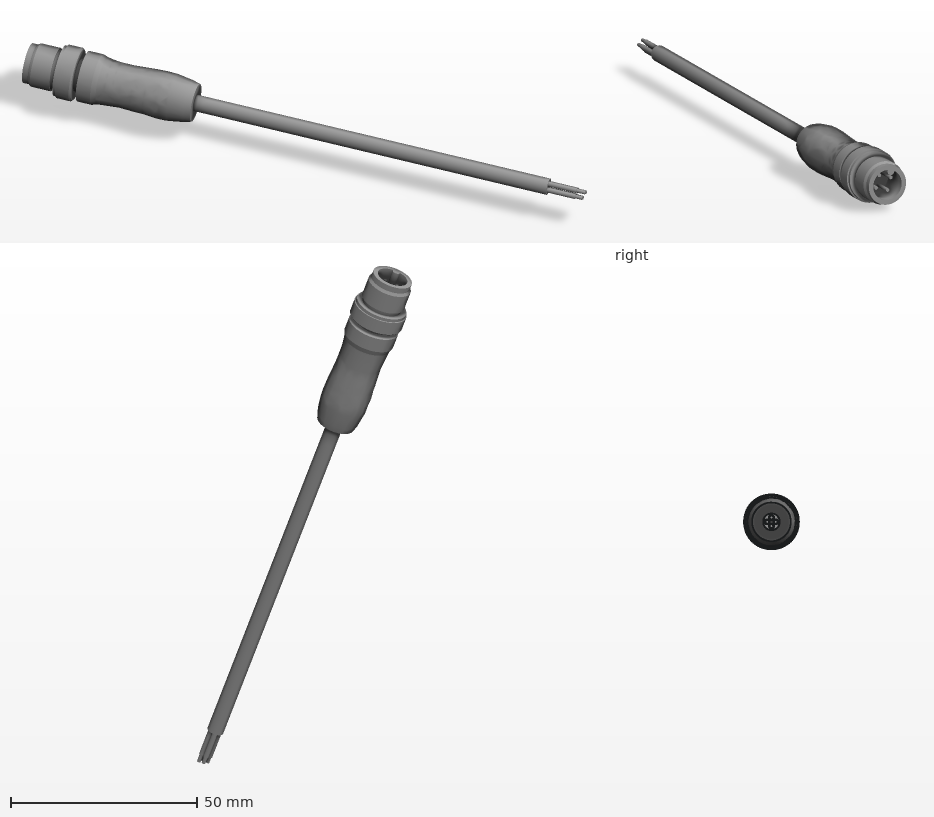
import cadquery as cq
import math

TIP_DIA = 11.0
TIP_END_X = 1.6
THREAD_DIA = 12.0
THREAD_START_X = 2.4
THREAD_END_X = 7.8
RELIEF_DIA = 11.0
COLLAR_DIA = 14.0
COLLAR_START_X = 9.0
NUT_DIA = 14.8
NUT_START_X = 9.9
NUT_CHAMFER_X = 13.7
NUT_END_X = 14.1
NECK_DIA = 9.0

RING_DIA = 14.0
RING_START_X = 15.6
RING_END_X = 19.6
GRIP_START_DIA = 13.0
GRIP_START_X = 21.0
WAIST_DIA = 12.1
WAIST_X = 27.5
BULGE_DIA = 13.0
BULGE_X = 36.0
GRIP_END_DIA = 10.4
GRIP_END_X = 47.2

SOCKET_DIA = 8.4
SOCKET_DEPTH = 8.5
CODING_ANGLE = 16.0
KEY_RADIUS = 1.0
KEY_OFFSET = 3.8
PIN_COUNT = 4
PIN_DIA = 1.0
PIN_CIRCLE_RADIUS = 2.5
PIN_START_X = 2.5

OVERALL_LENGTH = 156.8
CABLE_DIA = 4.5
CABLE_END_X = 146.5
WIRE_DIA = 1.4
WIRE_CIRCLE_RADIUS = 1.15
WIRE_END_X = 154.4
CORE_DIA = 1.0
SHORT_CORE_END_X = OVERALL_LENGTH - 0.5
EMBED = 1.0


def rod(x_start, x_end, diameter, y=0.0, z=0.0):
    """Cylinder parallel to X between two X positions."""
    plane = cq.Plane(origin=(x_start, y, z), xDir=(0, 1, 0), normal=(1, 0, 0))
    return cq.Workplane(plane).circle(diameter / 2).extrude(x_end - x_start)


def around_axis(radius, angle):
    """(y, z) at an angle turned from +Z towards -Y."""
    turn = math.radians(angle)
    return -radius * math.sin(turn), radius * math.cos(turn)


def make_body():
    """Shell, nut and grip as one revolved profile."""
    grip_curve = [
        (WAIST_X, WAIST_DIA / 2),
        (BULGE_X, BULGE_DIA / 2),
        (GRIP_END_X, GRIP_END_DIA / 2),
    ]
    profile = (
        cq.Workplane("XY")
        .moveTo(0, 0)
        .lineTo(0, TIP_DIA / 2)
        .lineTo(TIP_END_X, TIP_DIA / 2)
        .lineTo(THREAD_START_X, THREAD_DIA / 2)
        .lineTo(THREAD_END_X, THREAD_DIA / 2)
        .lineTo(THREAD_END_X, RELIEF_DIA / 2)
        .lineTo(COLLAR_START_X, RELIEF_DIA / 2)
        .lineTo(COLLAR_START_X, COLLAR_DIA / 2)
        .lineTo(NUT_START_X, COLLAR_DIA / 2)
        .lineTo(NUT_START_X, NUT_DIA / 2)
        .lineTo(NUT_CHAMFER_X, NUT_DIA / 2)
        .lineTo(NUT_END_X, COLLAR_DIA / 2)
        .lineTo(NUT_END_X, NECK_DIA / 2)
        .lineTo(RING_START_X, NECK_DIA / 2)
        .lineTo(RING_START_X, RING_DIA / 2)
        .lineTo(RING_END_X, RING_DIA / 2)
        .lineTo(GRIP_START_X, GRIP_START_DIA / 2)
        .spline(grip_curve, includeCurrent=True)
        .lineTo(GRIP_END_X, 0)
        .close()
    )
    return profile.revolve(360, (0, 0, 0), (1, 0, 0))


def make_socket():
    """Round recess with the coding key left standing on its wall."""
    key = rod(0, SOCKET_DEPTH, 2 * KEY_RADIUS, *around_axis(KEY_OFFSET, CODING_ANGLE))
    return rod(0, SOCKET_DEPTH, SOCKET_DIA).cut(key)


def add_pins(part):
    """Contact pins on a circle, midway about the coding key."""
    pitch = 360 / PIN_COUNT
    for index in range(PIN_COUNT):
        y, z = around_axis(PIN_CIRCLE_RADIUS, CODING_ANGLE + (index + 0.5) * pitch)
        part = part.union(rod(PIN_START_X, SOCKET_DEPTH + EMBED, PIN_DIA, y, z))
    return part


def add_cable(part):
    """Cable jacket and four insulated wires with bare conductor ends."""
    part = part.union(rod(GRIP_END_X - EMBED, CABLE_END_X, CABLE_DIA))
    core_ends = {
        0: OVERALL_LENGTH,
        90: SHORT_CORE_END_X,
        180: SHORT_CORE_END_X,
        270: OVERALL_LENGTH,
    }
    for angle, core_end_x in core_ends.items():
        y, z = around_axis(WIRE_CIRCLE_RADIUS, angle)
        part = part.union(rod(CABLE_END_X - EMBED, WIRE_END_X, WIRE_DIA, y, z))
        part = part.union(rod(WIRE_END_X - EMBED, core_end_x, CORE_DIA, y, z))
    return part


result = add_cable(add_pins(make_body().cut(make_socket())))